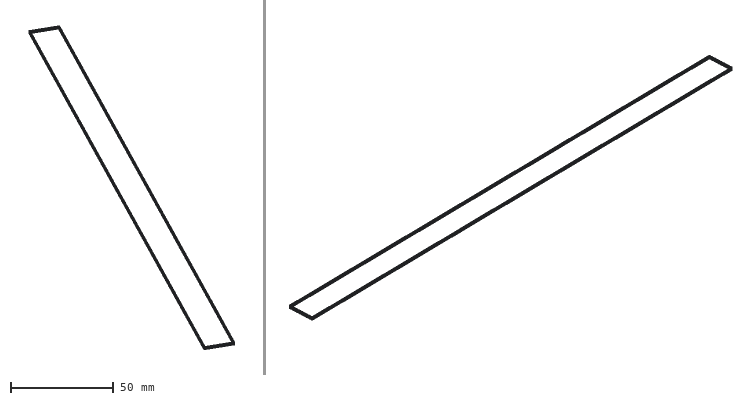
import cadquery as cq

length = 300.0
width = 15.0
thickness = 1.0

result = cq.Workplane("XY").box(length, width, thickness)